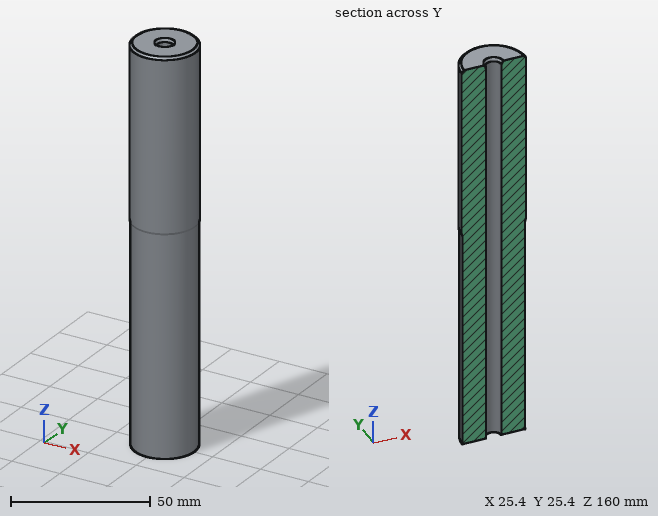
import cadquery as cq
import math

total_length = 160.0
head_diameter = 25.4
head_length = 70.0
shank_diameter = 24.9

top_chamfer = 1.0
step_taper_length = 0.9
bottom_chamfer = 0.2

hole_diameter = 6.0
countersink_diameter = 7.5
countersink_angle = 60.0

head_radius = head_diameter / 2
shank_radius = shank_diameter / 2
head_bottom = total_length - head_length


def make_body():
    """Revolve the stepped bar: chamfered head, short taper, shank."""
    half_profile = [
        (0, 0),
        (shank_radius - bottom_chamfer, 0),
        (shank_radius, bottom_chamfer),
        (shank_radius, head_bottom - step_taper_length),
        (head_radius, head_bottom),
        (head_radius, total_length - top_chamfer),
        (head_radius - top_chamfer, total_length),
        (0, total_length),
    ]
    return cq.Workplane("XZ").polyline(half_profile).close().revolve(360, (0, 0, 0), (0, 1, 0))


def make_hole():
    """Cutter for the through hole and its conical countersink in the top face."""
    hole_radius = hole_diameter / 2
    countersink_radius = countersink_diameter / 2
    half_angle = math.radians(countersink_angle / 2)
    countersink_depth = (countersink_radius - hole_radius) / math.tan(half_angle)
    half_profile = [
        (0, 0),
        (hole_radius, 0),
        (hole_radius, total_length - countersink_depth),
        (countersink_radius, total_length),
        (0, total_length),
    ]
    return cq.Workplane("XZ").polyline(half_profile).close().revolve(360, (0, 0, 0), (0, 1, 0))


result = make_body().cut(make_hole())